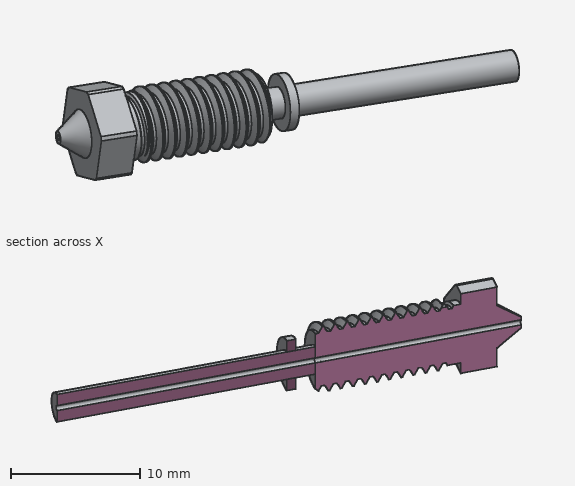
import cadquery as cq
import math


bore_diameter = 0.4

tip_diameter = 1.0
cone_base_diameter = 3.85
cone_length = 2.0
hex_sides = 6
hex_across_flats = 6.94
hex_corner_diameter = 7.82
hex_length = 3.0
hex_orientation = 15.8
neck_diameter = 5.3
neck_length = 1.5
shank_length = 10.5
shank_chamfer = 0.4

hex_start = cone_length
neck_start = hex_start + hex_length
shank_start = neck_start + neck_length
shank_end = shank_start + shank_length

thread_diameter = 5.9
pitch = 1.0
half_flank_angle = 30
crest_width = pitch / 8
root_width = pitch / 4
flank_slope = math.tan(math.radians(half_flank_angle))
thread_depth = (pitch - crest_width - root_width) / (2 * flank_slope)
groove_overshoot = 0.05
groove_start = neck_start + 0.57
groove_start_angle = 165
shank_seam_angle = 100

tube_diameter = 2.5
assembly_length = 38.3
ring_diameter = 4.5
ring_thickness = 0.75
ring_gap = 1.6
ring_start = shank_end + ring_gap


def cylinder(diameter, start, length):
    """Cylinder on the Z axis from start to start + length."""
    return cq.Workplane("XY").workplane(offset=start).circle(diameter / 2).extrude(length)


def along_y(body):
    """Turn a body built along +Z so that it runs along +Y."""
    return body.rotate((0, 0, 0), (1, 0, 0), -90)


def make_hexagon():
    """Hexagon whose corners are trimmed by a cylinder."""
    hexagon = (
        cq.Workplane("XY")
        .workplane(offset=hex_start)
        .polygon(hex_sides, hex_across_flats, circumscribed=True)
        .extrude(hex_length)
        .rotate((0, 0, 0), (0, 0, 1), hex_orientation)
    )
    return hexagon.intersect(cylinder(hex_corner_diameter, hex_start, hex_length))


def make_thread_groove():
    """Helical groove that starts in the neck and runs out past the end of the shank."""
    root_radius = thread_diameter / 2 - thread_depth
    outer_radius = thread_diameter / 2 + groove_overshoot
    root_half = root_width / 2
    outer_half = root_half + (outer_radius - root_radius) * flank_slope
    groove_length = shank_end + pitch - groove_start
    helix = cq.Wire.makeHelix(pitch, groove_length, root_radius)
    groove = (
        cq.Workplane("XZ")
        .moveTo(root_radius, -root_half)
        .lineTo(outer_radius, -outer_half)
        .lineTo(outer_radius, outer_half)
        .lineTo(root_radius, root_half)
        .close()
        .sweep(cq.Workplane(obj=helix), isFrenet=True)
    )
    return groove.rotate((0, 0, 0), (0, 0, 1), groove_start_angle).translate((0, 0, groove_start))


def make_nozzle():
    cone = (
        cq.Workplane("XY")
        .circle(tip_diameter / 2)
        .workplane(offset=cone_length)
        .circle(cone_base_diameter / 2)
        .loft()
    )
    neck = cylinder(neck_diameter, neck_start, neck_length)
    shank = cylinder(thread_diameter, shank_start, shank_length).faces(">Z").chamfer(shank_chamfer)
    blank = neck.union(shank).rotate((0, 0, 0), (0, 0, 1), shank_seam_angle)
    threaded = blank.cut(make_thread_groove())
    bore = cylinder(bore_diameter, 0, shank_end)
    return along_y(cone.union(make_hexagon()).union(threaded).cut(bore))


def make_tube():
    """Tube that stands on the end face of the shank and continues its bore."""
    length = assembly_length - shank_end
    tube = cylinder(tube_diameter, shank_end, length)
    return along_y(tube.cut(cylinder(bore_diameter, shank_end, length)))


def make_ring():
    ring = cylinder(ring_diameter, ring_start, ring_thickness)
    return along_y(ring.cut(cylinder(tube_diameter, ring_start, ring_thickness)))


nozzle = make_nozzle()
tube = make_tube()
ring = make_ring()

result = cq.Compound.makeCompound([nozzle.val(), tube.val(), ring.val()])